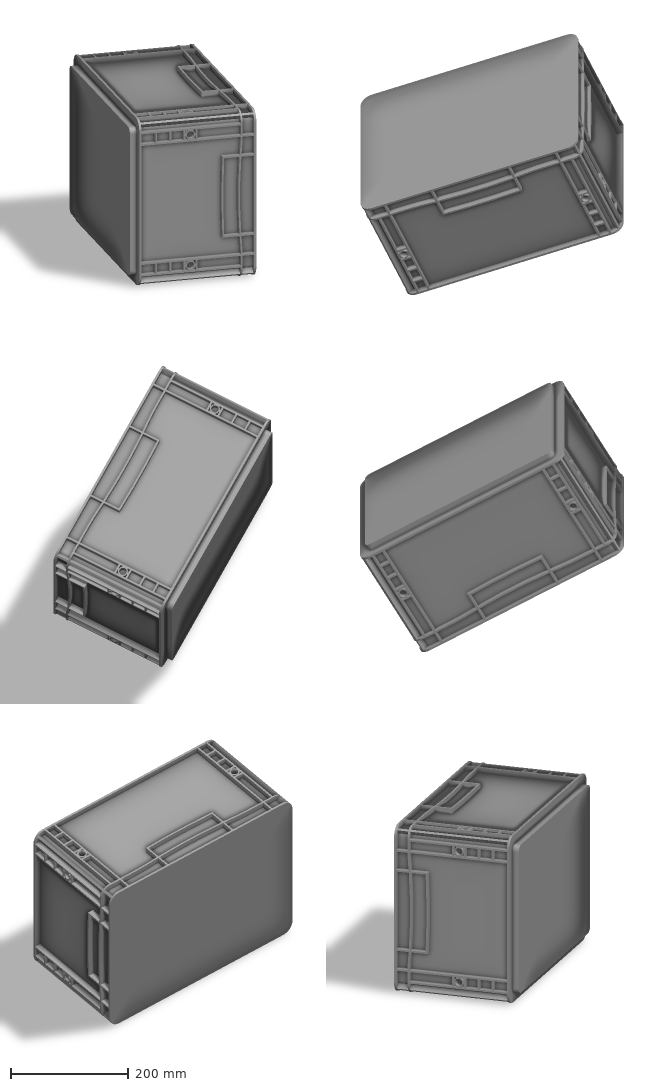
import cadquery as cq
length = 399.0
width = 299.0
depth = 220.0
corner_radius = 20.5

base_height = 12.0
base_inset = 16.8
base_radius = 10.0

flange_thickness = 4.0
rib_thickness = 3.0
diagonal_thickness = 4.0
wall_recess = 10.8
rib_height = 2 * wall_recess

lip_bottom = 192.5
lip_sag = 4.8
lip_bend_end = 87.8
long_lip_bend_start = 127.5
short_lip_bend_start = 111.7

handle_half_width = 72.5
handle_bottom = 159.5
handle_sag = 1.5

long_column_outer = 21.0
short_column_outer = 20.5
column_inner = 41.0
long_cross_ribs = (38.5, 64.2, 90.5, 112.0)
short_cross_ribs = (40.3, 66.0, 90.5, 112.0)

boss_outer_radius = 8.5
boss_hole_radius = 6.5
boss_web_width = 10.0

flange_top = base_height + flange_thickness
rim_bottom = depth - flange_thickness
lip_top = lip_bottom + rib_thickness


def rounded_slab(size_x, size_z, radius, y_start, y_end):
    """Rounded rectangle in X and Z, extruded along Y."""
    return (
        cq.Workplane("XY")
        .box(size_x, y_end - y_start, size_z)
        .edges("|Y")
        .fillet(radius)
        .translate((0, (y_start + y_end) / 2, 0))
    )


def bar(face, x_start, x_end, y_start, y_end):
    """Straight rib on a side."""
    return (
        face.center((x_start + x_end) / 2, (y_start + y_end) / 2)
        .rect(x_end - x_start, y_end - y_start)
        .extrude(rib_height)
    )


def sagging_lip(face, half_length, bend_start):
    """Lip along a side: straight ends, an easing arc on each half and one wide arc between them."""
    straight_end = half_length - corner_radius
    slope = 2 * lip_sag / bend_start
    bend_drop = slope * (bend_start - lip_bend_end) / 2
    bend_middle = (bend_start + lip_bend_end) / 2
    bend_middle_drop = bend_drop / 4

    def add_edge(outline, level, direction):
        return (
            outline.lineTo(-direction * bend_start, level)
            .threePointArc(
                (-direction * bend_middle, level - bend_middle_drop),
                (-direction * lip_bend_end, level - bend_drop),
            )
            .threePointArc((0, level - lip_sag), (direction * lip_bend_end, level - bend_drop))
            .threePointArc(
                (direction * bend_middle, level - bend_middle_drop),
                (direction * bend_start, level),
            )
            .lineTo(direction * straight_end, level)
        )

    outline = add_edge(face.moveTo(-straight_end, lip_bottom), lip_bottom, 1)
    outline = add_edge(outline.lineTo(straight_end, lip_top), lip_top, -1)
    return outline.close().extrude(rib_height)


def handle_frame(face):
    """Curved bar joined to the rim by an upright at each end."""
    bar_top = handle_bottom + rib_thickness
    frame = (
        face.moveTo(-handle_half_width, handle_bottom)
        .threePointArc((0, handle_bottom - handle_sag), (handle_half_width, handle_bottom))
        .lineTo(handle_half_width, bar_top)
        .threePointArc((0, bar_top - handle_sag), (-handle_half_width, bar_top))
        .close()
        .extrude(rib_height)
    )
    upright_start = handle_half_width - rib_thickness
    upright = bar(face, upright_start, handle_half_width, handle_bottom, rim_bottom)
    return frame.union(upright).union(upright.mirror("YZ"))


def hollow_boss(face, x_start, x_end, y_start, y_end):
    """Round boss filling a cell, tied to the ribs around it."""
    x = (x_start + x_end) / 2
    y = (y_start + y_end) / 2
    half_web = boss_web_width / 2
    half_rib = rib_thickness / 2
    boss = face.center(x, y).circle(boss_outer_radius).extrude(rib_height)
    boss = boss.union(bar(face, x_start, x_end, y - half_web, y + half_web))
    boss = boss.union(bar(face, x - half_rib, x + half_rib, y_start, y_end))
    return boss.cut(face.center(x, y).circle(boss_hole_radius).extrude(rib_height))


def cell_column(face, half_length, column_outer, cross_ribs):
    """Two uprights with cross ribs and a boss between them, at the +X end of a side."""
    outer_face = half_length - column_outer
    inner_face = half_length - column_inner
    cell_start = inner_face
    cell_end = outer_face - rib_thickness
    column = bar(face, cell_end, outer_face, flange_top, lip_top)
    column = column.union(bar(face, inner_face - rib_thickness, inner_face, flange_top, rim_bottom))
    for level in cross_ribs:
        column = column.union(bar(face, cell_start, cell_end, level, level + rib_thickness))
    boss_cell_bottom = cross_ribs[-2] + rib_thickness
    boss_cell_top = cross_ribs[-1]
    return column.union(hollow_boss(face, cell_start, cell_end, boss_cell_bottom, boss_cell_top))


def side_ribs(side_length, outer_plane, bend_start, column_outer, cross_ribs):
    """All ribs of a side facing +Z whose outer plane is at Z = outer_plane."""
    half_length = side_length / 2
    face = cq.Workplane("XY", origin=(0, 0, outer_plane - rib_height))
    column = cell_column(face, half_length, column_outer, cross_ribs)
    ribs = sagging_lip(face, half_length, bend_start).union(handle_frame(face))
    return ribs.union(column).union(column.mirror("YZ"))


def corner_ribs(x_side, z_side):
    """Lip round a corner and the diagonal rib out to that corner."""
    x = x_side * (length / 2 - corner_radius)
    z = z_side * (width / 2 - corner_radius)

    def corner_cylinder(y_start, y_end):
        return cq.Workplane("XZ", origin=(x, y_start, z)).circle(corner_radius).extrude(y_start - y_end)

    diagonal = (
        cq.Workplane("XY")
        .box(2 * corner_radius, rim_bottom - flange_top, diagonal_thickness)
        .rotate((0, 0, 0), (0, 1, 0), -45 * x_side * z_side)
        .translate((x, (rim_bottom + flange_top) / 2, z))
        .intersect(corner_cylinder(flange_top, rim_bottom))
    )
    return corner_cylinder(lip_bottom, lip_top).union(diagonal)


base = rounded_slab(length - 2 * base_inset, width - 2 * base_inset, base_radius, 0, base_height)
body = rounded_slab(
    length - 2 * wall_recess,
    width - 2 * wall_recess,
    corner_radius - wall_recess,
    base_height,
    depth,
)
bottom_flange = rounded_slab(length, width, corner_radius, base_height, flange_top)
rim = rounded_slab(length, width, corner_radius, rim_bottom, depth)
result = base.union(body).union(bottom_flange).union(rim)

long_side = side_ribs(length, width / 2, long_lip_bend_start, long_column_outer, long_cross_ribs)
short_side = side_ribs(width, length / 2, short_lip_bend_start, short_column_outer, short_cross_ribs)
for turn in (0, 180):
    result = result.union(long_side.rotate((0, 0, 0), (0, 1, 0), turn))
    result = result.union(short_side.rotate((0, 0, 0), (0, 1, 0), turn + 90))

for x_side in (-1, 1):
    for z_side in (-1, 1):
        result = result.union(corner_ribs(x_side, z_side))